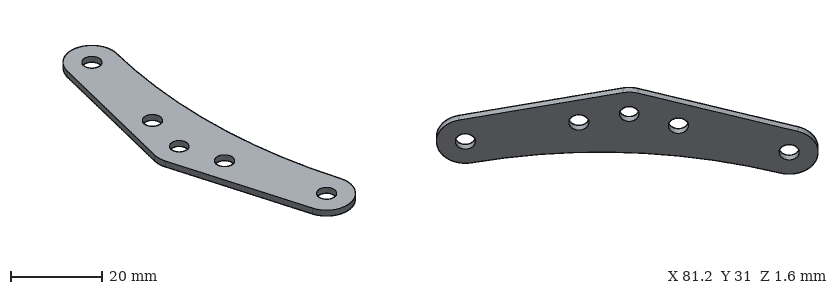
import cadquery as cq
import math

length = 81.2
thickness = 1.6
end_radius = 6.3
bend_angle = math.radians(30)
hole_diameter = 4.4
bend_hole_diameter = 4.2
inner_hole_spacing = 11.3

arm_length = (length - 2 * end_radius) / (1 + math.cos(bend_angle))


def along_second_arm(distance, offset=0.0):
    """Point at a distance from the bend along the rising arm, offset to its upper side."""
    x = distance * math.cos(bend_angle) - offset * math.sin(bend_angle)
    y = distance * math.sin(bend_angle) + offset * math.cos(bend_angle)
    return (x, y)


def bend_point(radius):
    """Point on the bisector below the bend, at a radius from the bend center."""
    return (radius * math.sin(bend_angle / 2), -radius * math.cos(bend_angle / 2))


arc_radius = arm_length / math.tan(bend_angle / 2) - end_radius
arc_center_y = end_radius + arc_radius
arc_middle_x, arc_drop = bend_point(arc_radius)
arc_middle = (-arm_length + arc_middle_x, arc_center_y + arc_drop)

plate = (
    cq.Workplane("XY")
    .moveTo(-arm_length, -end_radius)
    .lineTo(0, -end_radius)
    .threePointArc(bend_point(end_radius), along_second_arm(0, -end_radius))
    .lineTo(*along_second_arm(arm_length, -end_radius))
    .threePointArc(
        along_second_arm(arm_length + end_radius),
        along_second_arm(arm_length, end_radius),
    )
    .threePointArc(arc_middle, (-arm_length, end_radius))
    .threePointArc((-arm_length - end_radius, 0), (-arm_length, -end_radius))
    .close()
    .extrude(thickness)
)


def drill(body, centers, diameter):
    """Cut through holes at the given centers."""
    cutter = cq.Workplane("XY").pushPoints(centers).circle(diameter / 2).extrude(thickness)
    return body.cut(cutter)


arm_holes = []
for distance in (inner_hole_spacing, arm_length):
    arm_holes.append((-distance, 0))
    arm_holes.append(along_second_arm(distance))

result = drill(plate, arm_holes, hole_diameter)
result = drill(result, [(0, 0)], bend_hole_diameter)